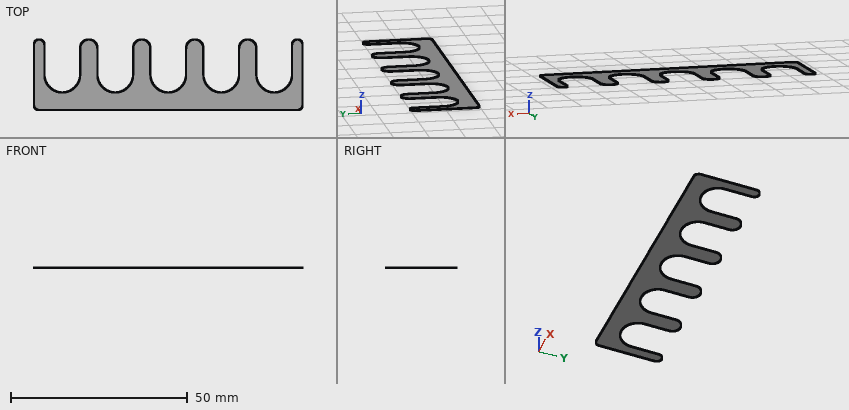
import cadquery as cq

length = 76.0
depth = 20.0
thickness = 0.2
slot_count = 5
slot_width = 10.0
slot_pitch = 15.0
spine_width = 5.0
corner_radius = 1.45

slot_radius = slot_width / 2
finger_width = slot_pitch - slot_width
slot_span = (slot_count - 1) * slot_pitch + slot_width
end_finger_width = (length - slot_span) / 2
slot_center_y = spine_width + slot_radius


def finger(left_x, width):
    """Finger rising from the spine, with a fully rounded tip."""
    right_x = left_x + width
    shoulder_y = depth - width / 2
    return (
        cq.Workplane("XY")
        .moveTo(left_x, 0)
        .lineTo(right_x, 0)
        .lineTo(right_x, shoulder_y)
        .threePointArc((left_x + width / 2, depth), (left_x, shoulder_y))
        .close()
        .extrude(thickness)
    )


def slot_cutter(center_x):
    """Open slot with a half-round bottom."""
    left_x = center_x - slot_radius
    right_x = center_x + slot_radius
    return (
        cq.Workplane("XY")
        .moveTo(left_x, depth)
        .lineTo(left_x, slot_center_y)
        .threePointArc((center_x, spine_width), (right_x, slot_center_y))
        .lineTo(right_x, depth)
        .close()
        .extrude(thickness)
    )


result = cq.Workplane("XY").rect(length, slot_center_y).extrude(thickness)
result = result.translate((0, slot_center_y / 2, 0))

first_slot_left = -slot_span / 2
result = result.union(finger(-length / 2, end_finger_width))
result = result.union(finger(length / 2 - end_finger_width, end_finger_width))
for index in range(1, slot_count):
    finger_left = first_slot_left + index * slot_pitch - finger_width
    result = result.union(finger(finger_left, finger_width))

for index in range(slot_count):
    slot_center_x = first_slot_left + slot_radius + index * slot_pitch
    result = result.cut(slot_cutter(slot_center_x))

result = result.clean().edges("|Z").edges("<Y").fillet(corner_radius)